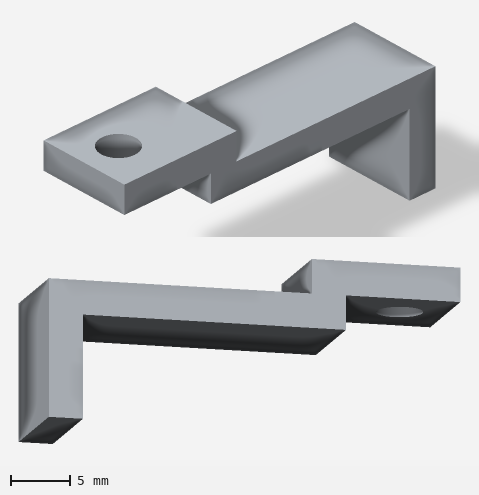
import cadquery as cq

length = 36.0
width = 10.0
height = 15.0
thickness = 3.0
tab_length = 13.0
hole_diameter = 4.0
hole_setback = 4.0

tab_underside = height - thickness
arm_underside = tab_underside - thickness
arm_front = tab_length - thickness
leg_front = length - thickness


def stepped_strip():
    """Side outline in the YZ plane, extruded symmetrically across the width."""
    outline = [
        (0, height),
        (tab_length, height),
        (tab_length, tab_underside),
        (length, tab_underside),
        (length, 0),
        (leg_front, 0),
        (leg_front, arm_underside),
        (arm_front, arm_underside),
        (arm_front, tab_underside),
        (0, tab_underside),
    ]
    return cq.Workplane("YZ").polyline(outline).close().extrude(width / 2, both=True)


def tab_hole():
    """Vertical cylinder that passes right through the tab."""
    return (
        cq.Workplane("XY")
        .center(0, hole_setback)
        .circle(hole_diameter / 2)
        .extrude(height)
    )


result = stepped_strip().cut(tab_hole())